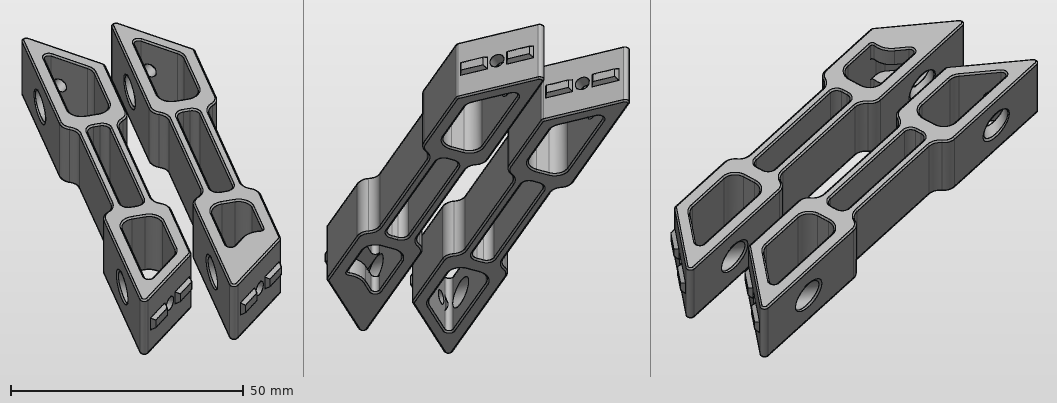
import cadquery as cq
import math

LENGTH = 97.2
DEPTH = 15.0
HEIGHT = 15.0
BAR_PITCH = 20.0
EDGE_ROUND = 1.0
EDGE_CHAMFER = 0.4
WALL = 3.0

WAIST_CENTRE_X = 0.6
SHOULDER_HALF_SPAN = 15.4
SHOULDER_RADIUS = 3.0
SHOULDER_ANGLE = math.radians(60)

SLOT_HALF_LENGTH = 14.9
SLOT_WIDTH = 5.0
SLOT_ROUND = 1.75
POCKET_INNER_OFFSET = 18.9
POCKET_ROUND = 3.0
POCKET_TIP_ROUND = 1.0

THICK_WALL = 7.5
PAD_END_X = 31.0
PAD_END_RADIUS = 5.0
PAD_ROOT_ROUND = 0.5

SCREW_Y = 8.4
SCREW_DIAMETER = 3.2
HEAD_DIAMETER = 6.0
HEAD_CHAMFER = 0.4

LUG_OFFSET = 5.3
LUG_LENGTH = 6.2
LUG_WIDTH = 3.2
LUG_HEIGHT = 1.0
LUG_TAPER = 0.6

MID_Y = DEPTH / 2
MID_Z = HEIGHT / 2
DIAGONAL = math.sqrt(2)
BASE_HALF_LENGTH = LENGTH / 2 + EDGE_ROUND * DIAGONAL


def slope_x(y, inset=0.0):
    """X on the right-hand sloping face at a given Y, moved inwards by a wall thickness."""
    return BASE_HALF_LENGTH - y - inset * DIAGONAL


def prism(points):
    return cq.Workplane("XY").polyline(points).close().extrude(HEIGHT)


def round_upright_edge(body, x, y, radius):
    """Fillet the vertical edge nearest to (x, y)."""
    return body.edges(cq.selectors.NearestToPointSelector((x, y, MID_Z))).fillet(radius)


def end_blank():
    points = [
        (-BASE_HALF_LENGTH, 0),
        (BASE_HALF_LENGTH, 0),
        (slope_x(DEPTH), DEPTH),
        (-slope_x(DEPTH), DEPTH),
    ]
    return prism(points).edges("|Z").fillet(EDGE_ROUND)


def waist_notch():
    """Cutter for the front notch; each shoulder is two equal tangent arcs."""
    run = SHOULDER_RADIUS * math.sin(SHOULDER_ANGLE)
    rise = SHOULDER_RADIUS * (1 - math.cos(SHOULDER_ANGLE))
    half_run = SHOULDER_RADIUS * math.sin(SHOULDER_ANGLE / 2)
    half_rise = SHOULDER_RADIUS * (1 - math.cos(SHOULDER_ANGLE / 2))
    left = WAIST_CENTRE_X - SHOULDER_HALF_SPAN
    right = WAIST_CENTRE_X + SHOULDER_HALF_SPAN
    return (
        cq.Workplane("XY")
        .moveTo(left - run, 0)
        .threePointArc((left - run + half_run, half_rise), (left, rise))
        .threePointArc((left + run - half_run, 2 * rise - half_rise), (left + run, 2 * rise))
        .lineTo(right - run, 2 * rise)
        .threePointArc((right - run + half_run, 2 * rise - half_rise), (right, rise))
        .threePointArc((right + run - half_run, half_rise), (right + run, 0))
        .close()
        .extrude(HEIGHT)
    )


def waist_slot():
    return (
        cq.Workplane("XY")
        .center(WAIST_CENTRE_X, MID_Y)
        .rect(2 * SLOT_HALF_LENGTH, SLOT_WIDTH)
        .extrude(HEIGHT)
        .edges("|Z")
        .fillet(SLOT_ROUND)
    )


def pocket(inner_x):
    """Pocket at the right-hand end whose square side stands at inner_x."""
    low = WALL
    high = DEPTH - WALL
    tip = (slope_x(low, WALL), low)
    points = [(inner_x, low), tip, (slope_x(high, WALL), high), (inner_x, high)]
    body = prism(points)
    for x, y in points:
        body = round_upright_edge(body, x, y, POCKET_TIP_ROUND if (x, y) == tip else POCKET_ROUND)
    return body


def thick_wall_pad():
    """Block that thickens the right-hand sloping wall and ends in a round nose towards the waist."""
    nose_x = PAD_END_X + PAD_END_RADIUS
    nose_y = BASE_HALF_LENGTH - (THICK_WALL - PAD_END_RADIUS) * DIAGONAL - nose_x
    nose = cq.Workplane("XY").center(nose_x, nose_y).circle(PAD_END_RADIUS).extrude(HEIGHT)
    shift = PAD_END_RADIUS / DIAGONAL
    points = [
        (nose_x - shift, nose_y - shift),
        (slope_x(0, THICK_WALL), 0),
        (BASE_HALF_LENGTH, 0),
        (nose_x + shift, nose_y + shift),
    ]
    return prism(points).union(nose)


def thick_wall_pocket(inner_x):
    """The right-hand pocket narrowed by the thick wall's pad, over the full height."""
    body = pocket(inner_x).cut(thick_wall_pad())
    body = round_upright_edge(body, PAD_END_X, DEPTH - WALL, PAD_ROOT_ROUND)
    return round_upright_edge(body, slope_x(WALL, THICK_WALL), WALL, POCKET_TIP_ROUND)


def head_gap(inner_x):
    """Middle layer of the plain pocket, as tall as the screw head passage."""
    layer = cq.Workplane("XY").box(2 * BASE_HALF_LENGTH, 2 * DEPTH, HEAD_DIAMETER)
    return pocket(inner_x).intersect(layer.translate((0, 0, MID_Z)))


def slope_plane():
    """Right-hand sloping face: origin on the screw axis, local X along the slope, normal outwards."""
    return cq.Plane(origin=(slope_x(SCREW_Y), SCREW_Y, MID_Z), xDir=(-1, 1, 0), normal=(1, 1, 0))


def screw_cutter():
    """Screw hole through the sloping wall and the wider head passage out through the front."""
    reach = DEPTH * DIAGONAL
    plane = slope_plane()
    shank = cq.Workplane(plane).circle(SCREW_DIAMETER / 2).extrude(-reach)
    head = cq.Workplane(plane).workplane(offset=-WALL).circle(HEAD_DIAMETER / 2).extrude(-reach)
    return shank.union(head)


def lugs():
    """Two raised pads with sloping sides, one on each side of the screw hole."""
    taper = math.degrees(math.atan(LUG_TAPER / LUG_HEIGHT))
    return (
        cq.Workplane(slope_plane())
        .pushPoints([(-LUG_OFFSET, 0), (LUG_OFFSET, 0)])
        .rect(LUG_LENGTH, LUG_WIDTH)
        .extrude(LUG_HEIGHT, taper=taper)
    )


def mirrored(body):
    return body.mirror("YZ")


def bar(right_pocket):
    notch = waist_notch()
    inner_left = POCKET_INNER_OFFSET - WAIST_CENTRE_X
    body = (
        end_blank()
        .cut(notch)
        .cut(notch.mirror("XZ").translate((0, DEPTH, 0)))
        .cut(waist_slot())
        .cut(right_pocket)
        .cut(mirrored(pocket(inner_left)))
        .faces("<Z or >Z")
        .edges()
        .chamfer(EDGE_CHAMFER)
    )
    screw = screw_cutter()
    body = body.cut(screw).cut(mirrored(screw))
    body = body.faces("<Y").edges("%ELLIPSE").chamfer(HEAD_CHAMFER)
    pads = lugs()
    return body.union(pads).union(mirrored(pads))


inner_right = POCKET_INNER_OFFSET + WAIST_CENTRE_X
front_bar = bar(pocket(inner_right))
rear_bar = bar(thick_wall_pocket(inner_right)).cut(head_gap(inner_right)).translate((0, BAR_PITCH, 0))

result = cq.Compound.makeCompound([front_bar.val(), rear_bar.val()])